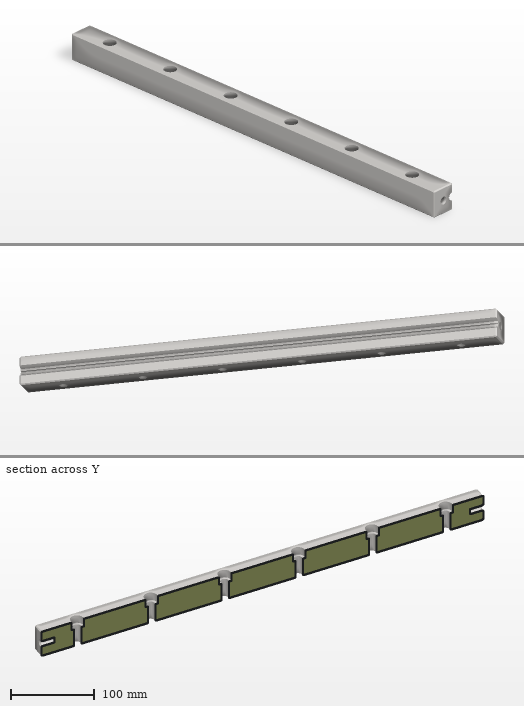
import cadquery as cq

length = 600.0
width = 32.0
height = 36.0
edge_chamfer = 1.45

groove_mouth_half = 6.5
groove_floor_half = 3.5
groove_depth = 5.5
relief_width = 2.0
relief_depth = 7.0

hole_count = 6
hole_pitch = length / hole_count
hole_y = -2.0
hole_diameter = 10.0
counterbore_diameter = 17.0
counterbore_depth = 11.0

end_hole_diameter = 6.5
end_hole_depth = 18.0
end_countersink_diameter = 10.0
end_countersink_angle = 90


def make_bar():
    return cq.Workplane("XY").box(length, width, height).edges().chamfer(edge_chamfer)


def make_groove():
    side = width / 2
    floor = side - groove_depth
    trough = (
        cq.Workplane("YZ")
        .polyline(
            [
                (side, groove_mouth_half),
                (floor, groove_floor_half),
                (floor, -groove_floor_half),
                (side, -groove_mouth_half),
            ]
        )
        .close()
        .extrude(length / 2, both=True)
    )
    relief = cq.Workplane("XY").box(length, relief_depth, relief_width)
    return trough.union(relief.translate((0, side - relief_depth / 2, 0)))


def add_mounting_holes(body):
    return (
        body.faces(">Z")
        .workplane(origin=(0, hole_y, 0))
        .rarray(hole_pitch, 6, hole_count, 1)
        .cboreHole(hole_diameter, counterbore_diameter, counterbore_depth)
    )


def add_end_holes(body):
    for end in ("<X", ">X"):
        body = (
            body.faces(end)
            .workplane(origin=(0, 0, 0))
            .cskHole(end_hole_diameter, end_countersink_diameter, end_countersink_angle, end_hole_depth)
        )
    return body


result = make_bar().cut(make_groove())
result = add_mounting_holes(result)
result = add_end_holes(result)